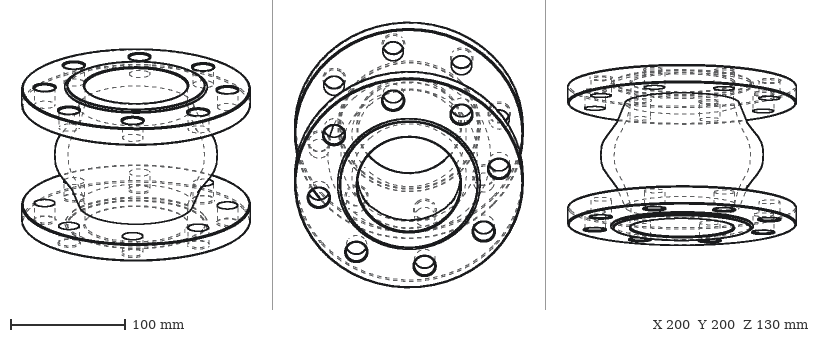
import cadquery as cq

overall_height = 130.0
half_height = overall_height / 2

flange_radius = 100.0
flange_thickness = 16.0
flange_edge_chamfer = 1.0

seal_height = 3.0
seal_radius = 62.5
seal_rim_height = 1.5
seal_root_radius = 61.5
seal_bevel_top_radius = 60.5
seal_edge_break = 0.5

bore_radius = 45.0
bore_chamfer = 1.0

bolt_count = 8
bolt_circle_radius = 80.0
bolt_hole_diameter = 18.0
bolt_hole_chamfer = 1.0

neck_radius = 50.0
shoulder_radius = 56.5
shoulder_height = 29.2
crown_edge_radius = 67.0
crown_edge_height = 14.8
crown_radius = 71.2
inner_crown_radius = 59.5

flange_outer_z = half_height - seal_height
flange_inner_z = flange_outer_z - flange_thickness


def bellows_solid(end_radius, middle_radius):
    """Solid of revolution swelling from end_radius at the flanges to middle_radius at mid-height."""
    bulge_ratio = (middle_radius - end_radius) / (crown_radius - neck_radius)
    neck = (end_radius, flange_inner_z)
    shoulder = (end_radius + bulge_ratio * (shoulder_radius - neck_radius), shoulder_height)
    crown_edge = (end_radius + bulge_ratio * (crown_edge_radius - neck_radius), crown_edge_height)
    crown = (middle_radius, 0)
    neck_slope = (shoulder[0] - neck[0], shoulder[1] - neck[1])
    upper_half = (
        cq.Workplane("XZ")
        .moveTo(0, 0)
        .lineTo(0, flange_inner_z)
        .lineTo(*neck)
        .spline([shoulder, crown_edge, crown], tangents=[neck_slope, (0, -1)], includeCurrent=True)
        .close()
        .revolve(360, (0, 0, 0), (0, 1, 0))
    )
    return upper_half.union(upper_half.mirror("XY"))


def bolt_holes():
    """Ring of hole cutters, flared where they leave the flange's outer face."""
    mouth_radius = bolt_hole_diameter / 2 + bolt_hole_chamfer
    centers = cq.Workplane("XY", origin=(0, 0, flange_inner_z)).polarArray(
        bolt_circle_radius, 0, 360, bolt_count
    )
    shafts = centers.circle(bolt_hole_diameter / 2).extrude(flange_thickness)
    mouths = (
        cq.Workplane("XY", origin=(0, 0, flange_outer_z))
        .polarArray(bolt_circle_radius, 0, 360, bolt_count)
        .eachpoint(
            cq.Solid.makeCone(
                mouth_radius,
                bolt_hole_diameter / 2,
                bolt_hole_chamfer,
                dir=cq.Vector(0, 0, -1),
            ),
            combine=False,
        )
    )
    return shafts.union(mouths)


def top_flange():
    """Upper flange with its raised sealing face, bore and bolt holes."""
    plate = (
        cq.Workplane("XY", origin=(0, 0, flange_inner_z))
        .circle(flange_radius)
        .extrude(flange_thickness)
        .edges()
        .chamfer(flange_edge_chamfer)
    )
    seal = (
        cq.Workplane("XZ")
        .moveTo(0, flange_outer_z)
        .lineTo(seal_root_radius, flange_outer_z)
        .lineTo(seal_radius, flange_outer_z + seal_rim_height)
        .lineTo(seal_bevel_top_radius, half_height - seal_edge_break)
        .lineTo(seal_bevel_top_radius - seal_edge_break, half_height)
        .lineTo(0, half_height)
        .close()
        .revolve(360, (0, 0, 0), (0, 1, 0))
    )
    bore = (
        cq.Workplane("XY", origin=(0, 0, flange_inner_z))
        .circle(bore_radius)
        .extrude(half_height - flange_inner_z)
    )
    bore_mouth = cq.Workplane(
        cq.Solid.makeCone(
            bore_radius + bore_chamfer,
            bore_radius,
            bore_chamfer,
            pnt=cq.Vector(0, 0, half_height),
            dir=cq.Vector(0, 0, -1),
        )
    )
    return plate.union(seal).cut(bore).cut(bore_mouth).cut(bolt_holes())


upper = top_flange()
lower = upper.mirror("XY")
bellows_outside = bellows_solid(neck_radius, crown_radius)
bellows_inside = bellows_solid(bore_radius, inner_crown_radius)
bellows = bellows_outside.cut(bellows_inside)
result = bellows.union(upper).union(lower)